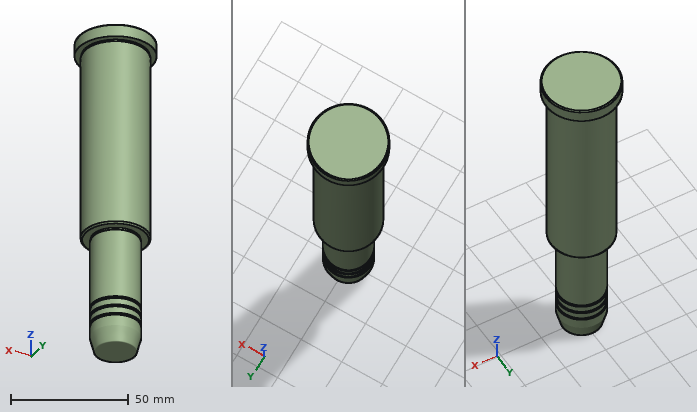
import cadquery as cq
import math

total_length = 151.0

head_radius = 17.5
head_height = 6.0
head_edge_chamfer = 0.6

body_radius = 15.0
body_bottom = 55.0
body_edge_chamfer = 0.8

shank_radius = 11.0

tip_height = 7.0
tip_half_angle = 15.0
tip_edge_fillet = 0.5

head_relief_width = 1.0
shank_relief_width = 1.2
relief_depth = 0.3

ring_count = 3
ring_pitch = 4.1
lowest_ring_height = 12.5
ring_width = 1.0
ring_depth = 0.3

head_bottom = total_length - head_height
tip_radius = shank_radius - tip_height * math.tan(math.radians(tip_half_angle))


def cylinder(radius, bottom, top):
    """Solid cylinder on the Z axis between two heights."""
    return cq.Workplane("XY").workplane(offset=bottom).circle(radius).extrude(top - bottom)


def turned_solid(profile):
    """Solid swept round the Z axis from a closed (radius, height) profile."""
    return cq.Workplane("XZ").polyline(profile).close().revolve(360, (0, 0, 0), (0, 1, 0))


def make_tip():
    """Tapered lead-in with a rounded bottom edge."""
    profile = [(0, 0), (tip_radius, 0), (shank_radius, tip_height), (0, tip_height)]
    return turned_solid(profile).faces("<Z").edges().fillet(tip_edge_fillet)


def relief_cutter(radius, top, width):
    """Relief with a straight floor up to the shoulder and a 45 degree run-out below."""
    bottom = top - width
    floor = radius - relief_depth
    return turned_solid([(radius, bottom), (floor, bottom + relief_depth), (floor, top), (radius, top)])


def ring_groove_cutter(middle):
    """V groove round the shank, centred on the given height."""
    lower_lip = (shank_radius, middle - ring_width / 2)
    root = (shank_radius - ring_depth, middle)
    upper_lip = (shank_radius, middle + ring_width / 2)
    return turned_solid([lower_lip, root, upper_lip])


head = cylinder(head_radius, head_bottom, total_length).faces(">Z").edges().chamfer(head_edge_chamfer)
body = cylinder(body_radius, body_bottom, head_bottom).faces("<Z").edges().chamfer(body_edge_chamfer)
shank = cylinder(shank_radius, tip_height, body_bottom)

result = make_tip().union(shank).union(body).union(head)

result = result.cut(relief_cutter(body_radius, head_bottom, head_relief_width))
result = result.cut(relief_cutter(shank_radius, body_bottom, shank_relief_width))

for ring in range(ring_count):
    result = result.cut(ring_groove_cutter(lowest_ring_height + ring * ring_pitch))